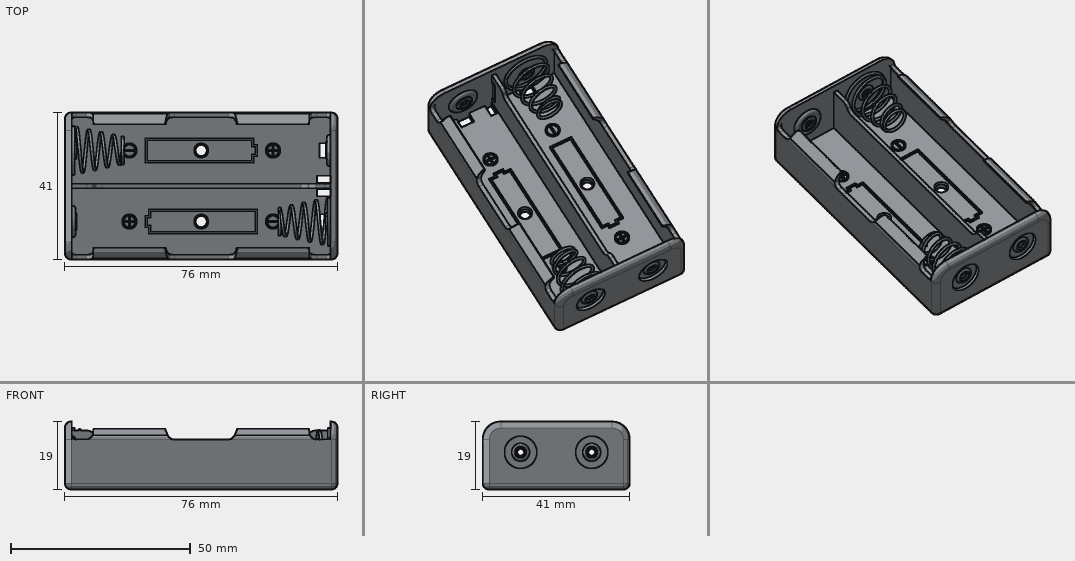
import cadquery as cq
import math

length = 76.0
width = 41.0
height = 19.0

end_wall = 2.0
side_wall = 1.3
floor = 2.0
rim_height = 14.0
edge_radius = 1.8
end_corner_radius = 5.0

divider = 1.2
divider_end_height = 16.5
divider_step_start = 27.75
divider_step_end = 31.85
notch_depth = 0.2
notch_length = 1.5
notch_bottom = 4.2
notch_top = 12.8

half_inside = length / 2 - end_wall
half_cavity = width / 2 - side_wall
bay_offset = (half_cavity + divider / 2) / 2
contact_height = 10.4

clip_top = 17.0
clip_reach = 17.2
clip_lip = 0.5
clip_foot = 13.3
clip_bevels = ((0.1, 0.45), (0.35, 1.2))
clip_inner_foot = 7.5
clip_outer_end = 30.1
clip_blend = 2.0
clip_ramp_angle = 68.0
clip_corner = 0.4
rim_end_blend = 1.2
clip_inner_radius = 3.75
clip_outer_radius = 5.0

recess_diameter = 9.0
recess_depth = 1.0
disc_diameter = 8.9
disc_thickness = 1.0
disc_rounding = 0.9
rivet_head_diameter = 5.0
rivet_head_rounding = 0.5
rivet_shank_diameter = 2.5
rivet_mouth_diameter = 3.1
rivet_bore_diameter = 1.9
rivet_head_thickness = 0.55
rivet_inner_reach = 1.3

wire = 0.8
spring_base_radius = 6.45
spring_tip_radius = 3.56
spring_turns = 4
coil_points = 120
spring_length = 14.55
ring_seam_angle = 200.0
left_spring_start = -90.0
right_spring_start = -198.0

screw_hole_diameter = 3.1
screw_sink_diameter = 4.0
engraving = 0.2
mark_offset = 20.0
mark_radius = 2.05
mark_line = 0.45
icon_half_height = 3.45
icon_tail = 15.55
icon_shoulder = 14.6
icon_nub_half_height = 1.55
icon_line = 0.55
outer_window_start = 33.0
outer_window_width = 4.0
inner_window_start = 32.3
inner_window_near = 0.85
inner_window_far = 2.85


def box(x0, x1, y0, y1, z0, z1):
    """Box between the given coordinates."""
    return cq.Workplane("XY").box(x1 - x0, y1 - y0, z1 - z0, centered=False).translate((x0, y0, z0))


def turned(shape):
    """Copy turned half a turn about the vertical axis."""
    return shape.rotate((0, 0, 0), (0, 0, 1), 180)


def make_shell():
    block = cq.Workplane("XY").box(length, width, height, centered=(True, True, False))
    block = block.edges("|X and >Z").fillet(end_corner_radius)
    block = block.faces("<X or >X or <Z").edges().fillet(edge_radius)
    opening = box(-half_inside, half_inside, -width, width, rim_height, 2 * height)
    cavity = box(-half_inside, half_inside, -half_cavity, half_cavity, floor, 2 * height)
    return block.cut(opening).cut(cavity)


def make_divider():
    rise = divider_end_height - rim_height
    run = divider_step_end - divider_step_start
    step_radius = (run ** 2 + rise ** 2) / (4 * rise)
    step_middle = (divider_step_start + run / 2, rim_height + rise / 2)
    right_half = (
        cq.Workplane("XZ")
        .moveTo(0, floor)
        .lineTo(half_inside, floor)
        .lineTo(half_inside, divider_end_height)
        .lineTo(divider_step_end, divider_end_height)
        .radiusArc(step_middle, -step_radius)
        .radiusArc((divider_step_start, rim_height), step_radius)
        .lineTo(0, rim_height)
        .close()
        .extrude(divider / 2, both=True)
    )
    divider_body = right_half.union(turned(right_half))
    for side in (-1, 1):
        near, far = sorted((side * divider, side * (divider / 2 - notch_depth)))
        divider_body = divider_body.cut(
            box(half_inside - notch_length, half_inside, near, far, notch_bottom, notch_top))
    return divider_body


def make_clip_section():
    """Leaning, curved cross section of one side clip along the whole inside length."""
    outer = width / 2
    bevel_ends = [(outer - inward, rim_height + up) for inward, up in clip_bevels]
    lip_bottom = (clip_reach, clip_top - clip_lip)
    return (
        cq.Workplane("YZ")
        .moveTo(half_cavity, clip_foot)
        .lineTo(outer, clip_foot)
        .lineTo(outer, rim_height)
        .lineTo(*bevel_ends[0])
        .lineTo(*bevel_ends[1])
        .radiusArc((clip_reach, clip_top), -clip_outer_radius)
        .lineTo(*lip_bottom)
        .radiusArc((half_cavity, clip_foot), clip_inner_radius)
        .close()
        .extrude(half_inside, both=True)
    )


def make_clip_outline():
    """Side outline of the rim above the straight wall, for the half with positive X."""
    ramp = math.radians(clip_ramp_angle)
    blend_end = (
        clip_inner_foot + clip_blend * math.sin(ramp),
        rim_height + clip_blend * (1 - math.cos(ramp)),
    )
    ramp_top = blend_end[0] + (clip_top - blend_end[1]) / math.tan(ramp)
    clip = (
        cq.Workplane("XZ")
        .moveTo(clip_inner_foot, rim_height)
        .radiusArc(blend_end, -clip_blend)
        .lineTo(ramp_top, clip_top)
        .lineTo(clip_outer_end, clip_top)
        .lineTo(clip_outer_end, rim_height + clip_blend)
        .radiusArc((clip_outer_end + clip_blend, rim_height), -clip_blend)
        .close()
        .extrude(width, both=True)
        .edges("|Y and >Z")
        .fillet(clip_corner)
    )
    end_blend = (
        cq.Workplane("XZ")
        .moveTo(half_inside - rim_end_blend, rim_height)
        .radiusArc((half_inside, rim_height + rim_end_blend), -rim_end_blend)
        .lineTo(half_inside, rim_height)
        .close()
        .extrude(width, both=True)
    )
    rim = box(0, half_inside, -width, width, clip_foot, rim_height)
    return rim.union(clip).union(end_blend)


def make_clips():
    outline = make_clip_outline()
    section = make_clip_section()
    right_clip = section.intersect(outline)
    left_clip = right_clip.mirror("YZ")
    clips = right_clip.union(left_clip)
    return clips.union(clips.mirror("XZ"))


def make_battery_icon():
    """Engraved cell outline of the rear bay, with its nub towards positive X."""
    def outline(inset):
        shoulder = icon_shoulder - inset
        body = box(-icon_tail + inset, shoulder, -icon_half_height + inset, icon_half_height - inset,
                   floor - engraving, floor)
        nub = box(0, icon_tail - inset, -icon_nub_half_height + inset, icon_nub_half_height - inset,
                  floor - engraving, floor)
        return body.union(nub)
    return outline(0).cut(outline(icon_line)).translate((0, bay_offset, 0))


def make_sign(x, has_upright):
    """Engraved ring with a minus or a plus inside it, on the rear bay."""
    start = cq.Workplane("XY").workplane(offset=floor - engraving)
    bar = 2 * mark_radius - mark_line
    sign = start.circle(mark_radius).circle(mark_radius - mark_line).extrude(engraving)
    sign = sign.union(start.rect(bar, mark_line).extrude(engraving))
    if has_upright:
        sign = sign.union(start.rect(mark_line, bar).extrude(engraving))
    return sign.translate((x, bay_offset, 0))


def make_floor_marks():
    marks = make_battery_icon()
    marks = marks.union(make_sign(-mark_offset, False))
    marks = marks.union(make_sign(mark_offset, True))
    return marks.union(turned(marks))


def make_floor_openings():
    sink_depth = (screw_sink_diameter - screw_hole_diameter) / 2
    openings = cq.Workplane("XY")
    for side in (-1, 1):
        y = side * bay_offset
        hole = cq.Workplane("XY").center(0, y).circle(screw_hole_diameter / 2).extrude(floor)
        sink = (
            cq.Workplane("XY", origin=(0, y, floor))
            .circle(screw_sink_diameter / 2)
            .workplane(offset=-sink_depth)
            .circle(screw_hole_diameter / 2)
            .loft()
        )
        outer_window = box(outer_window_start, half_inside, y - outer_window_width / 2,
                           y + outer_window_width / 2, 0, floor)
        near, far = sorted((side * inner_window_near, side * inner_window_far))
        inner_window = box(inner_window_start, half_inside, near, far, 0, floor)
        for opening in (hole, sink, outer_window, inner_window):
            openings = openings.add(opening)
    return openings.combine()


def revolve_profile(points):
    """Solid of revolution about X from (x, radius) points."""
    return cq.Workplane("XY").polyline(points).close().revolve(360, (0, 0, 0), (1, 0, 0))


def cylinder(diameter, start, end):
    return cq.Workplane("YZ").workplane(offset=start).circle(diameter / 2).extrude(end - start)


def make_rivet():
    outer_seat = recess_depth - end_wall
    outer_face = outer_seat - rivet_head_thickness
    inner_face = rivet_inner_reach
    inner_seat = inner_face - rivet_head_thickness
    rivet = cylinder(rivet_shank_diameter, outer_seat, inner_seat)
    outer_head = cylinder(rivet_head_diameter, outer_face, outer_seat)
    inner_head = cylinder(rivet_head_diameter, inner_seat, inner_face)
    rivet = rivet.union(outer_head.faces("<X").edges().fillet(rivet_head_rounding))
    rivet = rivet.union(inner_head.faces(">X").edges().fillet(rivet_head_rounding))
    bore = rivet_bore_diameter / 2
    mouth = rivet_mouth_diameter / 2
    flare = mouth - bore
    return rivet.cut(revolve_profile([
        (outer_face, 0), (outer_face, mouth), (outer_face + flare, bore),
        (inner_face - flare, bore), (inner_face, mouth), (inner_face, 0),
    ]))


def make_disc():
    disc = cylinder(disc_diameter, 0, disc_thickness).faces(">X").edges().fillet(disc_rounding)
    shank_hole = cylinder(rivet_shank_diameter, 0, disc_thickness)
    head_seat = cylinder(rivet_head_diameter, rivet_inner_reach - rivet_head_thickness, disc_thickness)
    return disc.cut(shank_hole).cut(head_seat)


def make_spring(start_angle):
    """Conical spring with a closed flat ring at each end."""
    axial = spring_length - wire

    def ring(radius, x):
        torus = cq.Solid.makeTorus(radius, wire / 2, cq.Vector(x, 0, 0), cq.Vector(1, 0, 0))
        return cq.Workplane("XY").add(torus.rotate((0, 0, 0), (1, 0, 0), ring_seam_angle))

    def centreline(t):
        angle = math.radians(start_angle) + t * 2 * math.pi * spring_turns
        radius = spring_base_radius + (spring_tip_radius - spring_base_radius) * t
        return (wire / 2 + axial * t, radius * math.cos(angle), radius * math.sin(angle))

    path = cq.Workplane("XY").parametricCurve(centreline, N=coil_points, makeWire=True)
    start_plane = cq.Plane(origin=centreline(0), normal=path.val().tangentAt(0))
    coil = cq.Workplane(start_plane).circle(wire / 2).sweep(path, isFrenet=True)
    base_ring = ring(spring_base_radius, wire / 2)
    tip_ring = ring(spring_tip_radius, wire / 2 + axial)
    return base_ring.union(coil).union(tip_ring)


def at_left(shape, side):
    return shape.translate((-half_inside, side * bay_offset, contact_height))


def at_right(shape, side):
    return turned(at_left(shape, -side))


rivet = make_rivet()
rivets = [place(rivet, side) for place in (at_left, at_right) for side in (-1, 1)]
disc = make_disc()
discs = [at_left(disc, -1), at_right(disc, 1)]
springs = [
    at_left(make_spring(left_spring_start), 1),
    at_right(make_spring(right_spring_start), -1),
]

housing = make_shell().union(make_divider()).union(make_clips())
housing = housing.cut(make_floor_marks()).cut(make_floor_openings())
recess = cylinder(recess_diameter, -end_wall, recess_depth - end_wall)
rivet_hole = cylinder(rivet_shank_diameter, -end_wall, 0)
for place in (at_left, at_right):
    for side in (-1, 1):
        housing = housing.cut(place(recess, side))
        housing = housing.cut(place(rivet_hole, side))

bodies = [housing] + springs + discs + rivets
result = cq.Compound.makeCompound([solid for body in bodies for solid in body.solids().vals()])